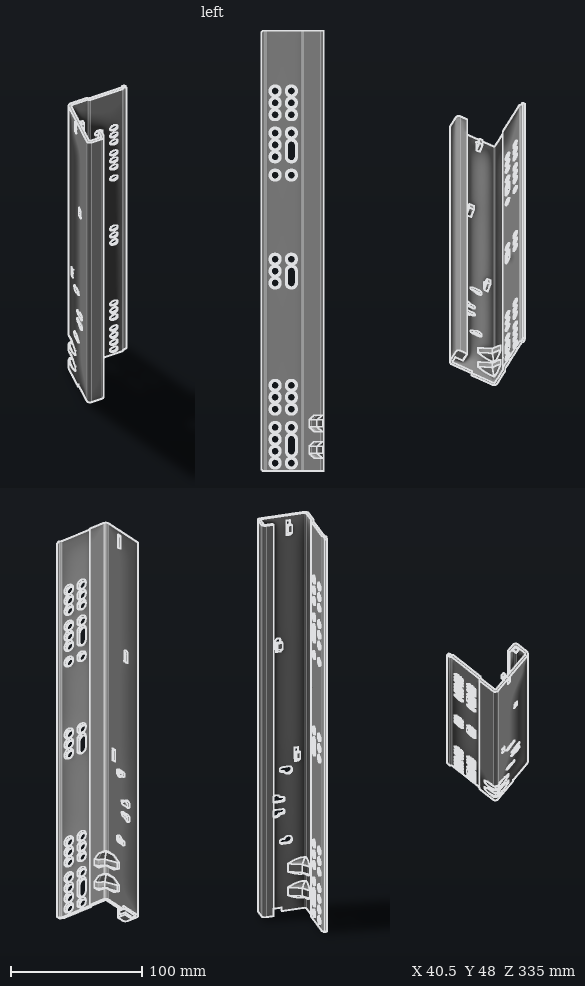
import cadquery as cq

length = 335
width = 40.5
depth = 48.0
sheet = 2.0
outer_bend = 2.7
inner_bend = outer_bend - sheet

step_offset = 1.0
step_run = 1.7
step_start = 15.7
step_end = 44.0
free_edge_chamfer = 1.5

lip_height = 14.0
lip_left = 31.8
lip_stop_bottom = 7.0
lip_stop_block = (3.0, 3.0, 2.7)
lip_stop_block_top = 331.0

notch_left = 21.0
notch_height = 3.0

hole_diameter = 6.5
countersink_diameter = 8.7
countersink_depth = 1.0
hole_columns = (24.8, 37.2)
slot_column = hole_columns[0]
top_row = 289.0
bottom_row = 33.0
row_intervals = 8
row_pitch = (top_row - bottom_row) / row_intervals
hole_pitch = 9.0
round_hole_rows = (0, 7)
slotted_rows = (1, 4, 8)
single_hole_row = 2
extra_hole_row = 8
group_steps = (0, 1, 2)
slot_steps = group_steps[1:]
extra_step = 3

keyhole_narrow_x = 20.8
keyhole_narrow_width = 4.0
keyholes = (
    (16.0, 119.0, 120.0),
    (25.8, 95.8, 94.8),
    (25.8, 83.5, 84.5),
    (16.0, 60.0, 59.0),
)

hook_reach = 6.7
hook_ramp = 4.0
hook_gap = 2.0
hooks = (
    (16.0, 319.3, 3.0, 11.5, False),
    (9.5, 126.5, 3.0, 10.5, False),
    (24.0, 221.5, 4.0, 10.5, True),
)

dent_heights = (36.2, 16.0)
dent_flat_half = 2.7
dent_open_half = 6.5
dent_deep_profile = ((0, 0), (15.7, 0), (14.7, 1.0), (5.0, 5.5), (2.0, 9.7), (0, 11.5))
dent_rim_profile = ((0, 0), (9.7, 0), (7.7, 0.5), (1.5, 1.0), (0.5, 5.5), (0, 7.5))
dent_wall_shift = 1.5
dent_wall_growth = 0.7


def box(x_range, y_range, z_range):
    sizes = [end - start for start, end in (x_range, y_range, z_range)]
    return cq.Workplane("XY").box(*sizes, centered=False).translate((x_range[0], y_range[0], z_range[0]))


def side_wall():
    """Side wall with smooth S-shaped steps and its corners at the free edge cut off."""
    def s_step(outline, across, along):
        half = (across / 2, along / 2)
        return outline.tangentArcPoint(half, relative=True).tangentArcPoint(half, relative=True)

    outline = cq.Workplane("XY").moveTo(0, outer_bend).lineTo(0, step_start)
    outline = s_step(outline, step_offset, step_run).lineTo(step_offset, step_end)
    outline = s_step(outline, -step_offset, step_run).lineTo(0, depth)
    outline = outline.lineTo(sheet, depth).lineTo(sheet, step_end + step_run)
    outline = s_step(outline, step_offset, -step_run).lineTo(sheet + step_offset, step_start + step_run)
    outline = s_step(outline, -step_offset, -step_run).lineTo(sheet, outer_bend)
    wall = outline.close().extrude(length)
    return wall.faces(">Y").edges("|X").chamfer(free_edge_chamfer)


def base_and_lip():
    """Base, far wall and lip, bent from one sheet; the near corner ends where the side wall starts."""
    inner_x = width - sheet
    inner_lip = lip_height - sheet
    profile = (
        cq.Workplane("XY")
        .moveTo(0, outer_bend)
        .radiusArc((outer_bend, 0), -outer_bend)
        .lineTo(width - outer_bend, 0)
        .radiusArc((width, outer_bend), -outer_bend)
        .lineTo(width, lip_height - outer_bend)
        .radiusArc((width - outer_bend, lip_height), -outer_bend)
        .lineTo(lip_left, lip_height)
        .lineTo(lip_left, inner_lip)
        .lineTo(inner_x - inner_bend, inner_lip)
        .radiusArc((inner_x, inner_lip - inner_bend), inner_bend)
        .lineTo(inner_x, outer_bend)
        .radiusArc((inner_x - inner_bend, sheet), inner_bend)
        .lineTo(outer_bend, sheet)
        .radiusArc((sheet, outer_bend), inner_bend)
        .close()
    )
    notch = box((notch_left, width), (0, lip_height), (0, notch_height))
    return profile.extrude(length).cut(notch)


def lip_stops():
    """Flat stop closing the bottom of the lip, and a small block near its top."""
    under_lip = lip_height - sheet
    inner_x = width - sheet
    plate = box((lip_left, inner_x), (lip_stop_bottom, under_lip), (notch_height, notch_height + sheet))
    block_x, block_y, block_z = lip_stop_block
    block = box(
        (inner_x - block_x, inner_x),
        (under_lip - block_y, under_lip),
        (lip_stop_block_top - block_z, lip_stop_block_top),
    )
    return plate.union(block)


def dent_solid(height, shift, growth):
    """Wedge across the corner edge, deepest over its flat middle band."""
    def section(profile, z):
        points = [cq.Vector(x + shift, y + shift, height + z) for x, y in profile]
        return cq.Wire.makePolygon(points, close=True)

    flat = dent_flat_half + growth
    rim = dent_open_half + growth
    sections = [
        section(dent_rim_profile, -rim),
        section(dent_deep_profile, -flat),
        section(dent_deep_profile, flat),
        section(dent_rim_profile, rim),
    ]
    return cq.Workplane(cq.Solid.makeLoft(sections, True))


def mounting_hole(y, z):
    """Through hole countersunk from the outer face."""
    hole = cq.Workplane("YZ").center(y, z).circle(hole_diameter / 2).extrude(2 * sheet)
    cone = (
        cq.Workplane("YZ", origin=(step_offset, y, z))
        .circle(countersink_diameter / 2)
        .workplane(offset=countersink_depth)
        .circle(hole_diameter / 2)
        .loft()
    )
    return hole.union(cone)


def mounting_slot(y, z_top, z_bottom):
    """Slot with a bevelled rim, joining two neighbouring hole positions."""
    middle = (z_top + z_bottom) / 2
    travel = z_top - z_bottom

    def slot_outline(plane, diameter):
        return plane.slot2D(travel + diameter, diameter, 90)

    through = slot_outline(cq.Workplane("YZ").center(y, middle), hole_diameter).extrude(2 * sheet)
    rim = slot_outline(cq.Workplane("YZ", origin=(step_offset, y, middle)), countersink_diameter)
    bevel = slot_outline(rim.workplane(offset=countersink_depth), hole_diameter).loft()
    return through.union(bevel)


def mounting_cuts():
    """All holes and slots of the side wall."""
    def place(row, step):
        return top_row - row * row_pitch - step * hole_pitch

    spots = [(y, place(row, step)) for row in round_hole_rows for step in group_steps for y in hole_columns]
    for row in slotted_rows:
        spots += [(y, place(row, 0)) for y in hole_columns]
        spots += [(hole_columns[1], place(row, step)) for step in slot_steps]
    spots += [(y, place(single_hole_row, 0)) for y in hole_columns]
    spots += [(y, place(extra_hole_row, extra_step)) for y in hole_columns]
    holes = [mounting_hole(y, z) for y, z in spots]
    upper, lower = slot_steps
    slots = [mounting_slot(slot_column, place(row, upper), place(row, lower)) for row in slotted_rows]
    return holes + slots


def keyhole(round_x, round_z, narrow_z):
    """Round opening with a narrower round-ended slot running to the common narrow end."""
    middle = (round_x + keyhole_narrow_x) / 2
    slot_length = abs(round_x - keyhole_narrow_x) + keyhole_narrow_width
    opening = cq.Workplane("XZ").center(round_x, round_z).circle(hole_diameter / 2).extrude(-sheet)
    narrow = cq.Workplane("XZ").center(middle, narrow_z).slot2D(slot_length, keyhole_narrow_width)
    return opening.union(narrow.extrude(-sheet))


def hook_window(x, z, hook_width, height, round_top):
    half = hook_width / 2
    top = z + height
    if not round_top:
        return box((x - half, x + half), (0, sheet), (z, top))
    straight = box((x - half, x + half), (0, sheet), (z, top - half))
    return straight.union(cq.Workplane("XZ").center(x, top - half).circle(half).extrude(-sheet))


def hook(x, z, hook_width, height):
    """Tongue rising from the window's bottom edge, stepped inward and running up behind the window."""
    tip = z + height - hook_gap
    root = z - sheet / 2
    outline = (
        (0, z),
        (hook_reach - sheet, z + hook_ramp),
        (hook_reach - sheet, tip),
        (hook_reach, tip),
        (hook_reach, z + hook_ramp - sheet / 2),
        (sheet, root),
        (0, root),
    )
    plane = cq.Workplane("YZ", origin=(x - hook_width / 2, 0, 0))
    return plane.polyline(outline).close().extrude(hook_width)


result = base_and_lip().union(side_wall()).union(lip_stops())

for dent_height in dent_heights:
    result = result.union(dent_solid(dent_height, dent_wall_shift, dent_wall_growth))
    result = result.cut(dent_solid(dent_height, 0, 0))

for cutter in mounting_cuts():
    result = result.cut(cutter)

for keyhole_sizes in keyholes:
    result = result.cut(keyhole(*keyhole_sizes))

for x, z, hook_width, height, round_top in hooks:
    result = result.cut(hook_window(x, z, hook_width, height, round_top))
    result = result.union(hook(x, z, hook_width, height))